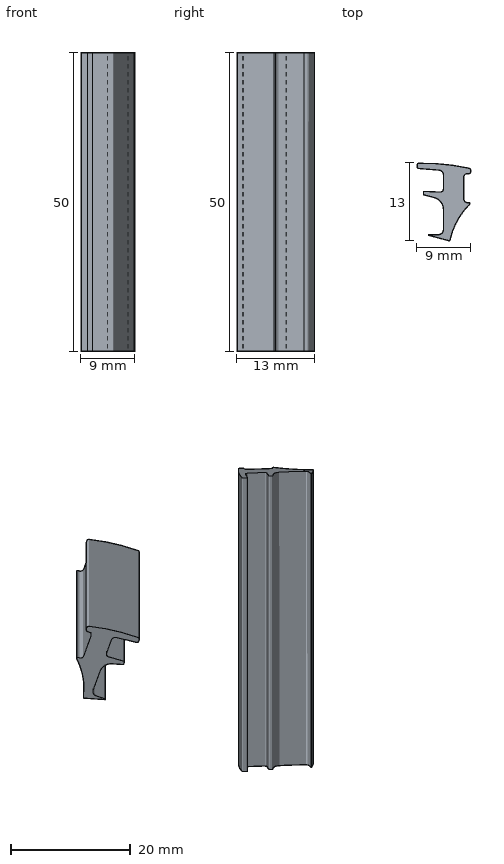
import cadquery as cq
import math

length = 50.0
width = 9.0
height = 13.0

web_left = 4.4
web_right = 7.85

crown_x = 1.0
crown_radius = 36.0
head_left_bottom = 12.1
head_root_y = 11.75
head_right_bottom = 11.2

underside_slope = math.tan(math.radians(15))
fin_tip_x = 1.05
fin_tip_top = 8.3
fin_root_top = 8.15
fin_tip_bottom = 7.7
foot_tip_x = 1.95
foot_top = 1.05
foot_tip_bottom = 0.9
heel_x = 5.5

lug_tip_x = 8.85
lug_top = 6.4
lug_tip_bottom = 6.15
flank_mid_x = 6.8
flank_mid_y = 3.45


def crown_y(x):
    """Height of the circular crown at x."""
    drop = crown_radius - math.sqrt(crown_radius**2 - (x - crown_x) ** 2)
    return height - drop


fin_root_bottom = fin_tip_bottom - underside_slope * (web_left - fin_tip_x)
heel_y = foot_tip_bottom - underside_slope * (heel_x - foot_tip_x)

profile = (
    cq.Workplane("XY")
    .moveTo(0, crown_y(0))
    .threePointArc((width / 2, crown_y(width / 2)), (width, crown_y(width)))
    .lineTo(width, head_right_bottom)
    .lineTo(web_right, head_right_bottom)
    .lineTo(web_right, lug_top)
    .lineTo(lug_tip_x, lug_top)
    .lineTo(lug_tip_x, lug_tip_bottom)
    .threePointArc((flank_mid_x, flank_mid_y), (heel_x, heel_y))
    .lineTo(foot_tip_x, foot_tip_bottom)
    .lineTo(foot_tip_x, foot_top)
    .lineTo(web_left, foot_top)
    .lineTo(web_left, fin_root_bottom)
    .lineTo(fin_tip_x, fin_tip_bottom)
    .lineTo(fin_tip_x, fin_tip_top)
    .lineTo(web_left, fin_root_top)
    .lineTo(web_left, head_root_y)
    .lineTo(0, head_left_bottom)
    .close()
)

roundings = [
    (0, crown_y(0), 0.35),
    (0, head_left_bottom, 0.3),
    (width, crown_y(width), 0.4),
    (width, head_right_bottom, 0.4),
    (web_right, head_right_bottom, 0.5),
    (web_right, lug_top, 0.6),
    (lug_tip_x, lug_top, 0.15),
    (heel_x, heel_y, 0.2),
    (web_left, foot_top, 0.8),
    (web_left, fin_root_bottom, 2.0),
    (fin_tip_x, fin_tip_bottom, 0.2),
    (fin_tip_x, fin_tip_top, 0.2),
    (web_left, fin_root_top, 0.5),
    (web_left, head_root_y, 0.75),
]

result = profile.extrude(length)
for corner_x, corner_y, radius in roundings:
    corner = cq.selectors.NearestToPointSelector((corner_x, corner_y, length / 2))
    result = result.edges("|Z").edges(corner).fillet(radius)